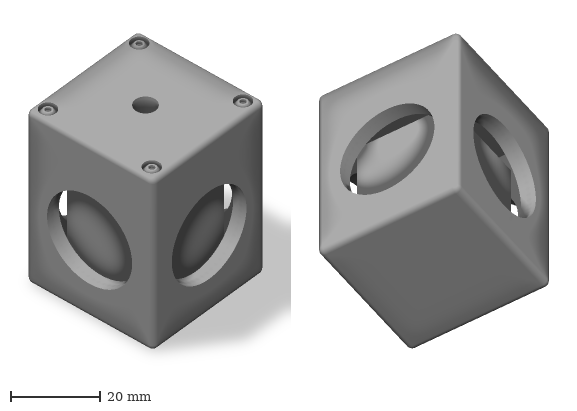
import cadquery as cq

side = 38.0
height = 50.0
edge_radius = 1.5
top_trim = 0.075

wall = 4.0
inner_side = side - 2 * wall
floor = 4.0
ceiling = 6.0
post_side = 25.0
window_height = 22.5
post_top = window_height + post_side / 2

window_diameter = 25.4
top_hole_diameter = 6.0

screw_spacing = 31.0
recess_diameter = 4.6
recess_depth = 1.5
head_top_diameter = 2.5
head_height = 1.35
socket_diameter = 1.6
socket_depth = 0.75


def housing():
    """Solid block with all its outer edges rounded, then faced off slightly at the top."""
    rounded_height = height + top_trim
    block = cq.Workplane("XY").box(side, side, rounded_height, centered=(True, True, False))
    trimmed_layer = cq.Workplane("XY", origin=(0, 0, height)).rect(side, side).extrude(top_trim)
    return block.edges().fillet(edge_radius).cut(trimmed_layer)


def chamber():
    """Square space inside the housing, left filled where the post stands."""
    space = (
        cq.Workplane("XY", origin=(0, 0, floor))
        .rect(inner_side, inner_side)
        .extrude(height - ceiling - floor)
    )
    post = (
        cq.Workplane("XY", origin=(0, 0, floor))
        .rect(post_side, post_side)
        .extrude(post_top - floor)
    )
    return space.cut(post)


def window(plane):
    """One pair of opposite round openings, each passing through one wall into the chamber."""
    bore = (
        cq.Workplane(plane, origin=(0, 0, window_height))
        .circle(window_diameter / 2)
        .extrude(side / 2, both=True)
    )
    core = cq.Workplane("XY").box(inner_side, inner_side, height, centered=(True, True, False))
    return bore.cut(core)


def top_hole():
    """Hole through the ceiling into the chamber."""
    return (
        cq.Workplane("XY", origin=(0, 0, height - ceiling))
        .circle(top_hole_diameter / 2)
        .extrude(ceiling)
    )


def screw_recess():
    """Space around one sunk screw: the ring above its tapered head, and its socket."""
    recess_bottom = height - recess_depth
    head_top = recess_bottom + head_height
    profile = [
        (0, height),
        (recess_diameter / 2, height),
        (recess_diameter / 2, recess_bottom),
        (head_top_diameter / 2, head_top),
        (socket_diameter / 2, head_top),
        (socket_diameter / 2, head_top - socket_depth),
        (0, head_top - socket_depth),
    ]
    return cq.Workplane("XZ").polyline(profile).close().revolve(360, (0, 0, 0), (0, 1, 0))


result = housing().cut(chamber()).cut(window("YZ")).cut(window("XZ")).cut(top_hole())
for x_side in (-1, 1):
    for y_side in (-1, 1):
        corner = (x_side * screw_spacing / 2, y_side * screw_spacing / 2, 0)
        result = result.cut(screw_recess().translate(corner))